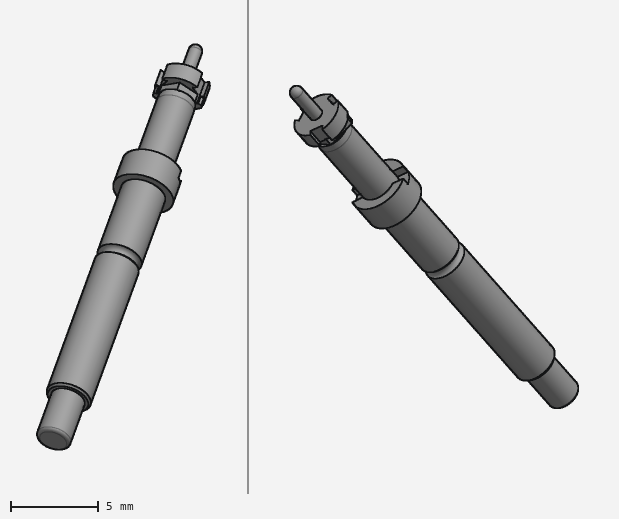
import cadquery as cq
import math

LENGTH = 28.8

TAIL_R = 1.0
SLEEVE_R = 1.32
COLLAR_DIAMETER = 3.6
COLLAR_R = COLLAR_DIAMETER / 2
NECK_R = 1.12
NECK_END_R = 1.1
HEAD_R = 1.5
NEEDLE_R = 0.4

SLEEVE_START = 3.0
GROOVE_CENTER = 13.0
COLLAR_START = 18.0
COLLAR_END = 19.8
NECK_TAPER_START = 24.35
WEDGE_START = 24.77
HEAD_START = 25.3
HEAD_END = 26.32

TAIL_FILLET = 0.2
SLEEVE_CHAMFER = 0.15
SLEEVE_CHAMFER_DEPTH = 0.12
GROOVE_WIDTH = 0.58
GROOVE_DEPTH = 0.23

NOTCH_WIDTH = 1.0
NOTCH_DEPTH = 0.52

WEDGE_FACE_ANGLE = 34.5
WEDGE_R = 1.45

RIM_SLOT_COUNT = 3
RIM_SLOT_WIDTH = 0.8
RIM_SLOT_FLOOR = 1.12


def rod(radius, start, end):
    """Cylinder on the part axis between two Y positions."""
    plane = cq.Workplane("XZ", origin=(0, start, 0))
    return plane.circle(radius).extrude(start - end)


def turned_body():
    """Tail, sleeve, collar, neck and needle as one revolved profile (radius, Y)."""
    groove_low = GROOVE_CENTER - GROOVE_WIDTH / 2
    groove_high = GROOVE_CENTER + GROOVE_WIDTH / 2
    fillet_mid = TAIL_FILLET * math.sin(math.radians(45))
    tip_mid = NEEDLE_R * math.sin(math.radians(45))
    tip_center = LENGTH - NEEDLE_R
    profile = (
        cq.Workplane("XY")
        .moveTo(0, 0)
        .lineTo(TAIL_R - TAIL_FILLET, 0)
        .threePointArc(
            (TAIL_R - TAIL_FILLET + fillet_mid, TAIL_FILLET - fillet_mid),
            (TAIL_R, TAIL_FILLET),
        )
        .lineTo(TAIL_R, SLEEVE_START)
        .lineTo(SLEEVE_R - SLEEVE_CHAMFER_DEPTH, SLEEVE_START)
        .lineTo(SLEEVE_R, SLEEVE_START + SLEEVE_CHAMFER)
        .lineTo(SLEEVE_R, groove_low)
        .threePointArc((SLEEVE_R - GROOVE_DEPTH, GROOVE_CENTER), (SLEEVE_R, groove_high))
        .lineTo(SLEEVE_R, COLLAR_START)
        .lineTo(COLLAR_R, COLLAR_START)
        .lineTo(COLLAR_R, COLLAR_END)
        .lineTo(NECK_R, COLLAR_END)
        .lineTo(NECK_R, NECK_TAPER_START)
        .lineTo(NECK_END_R, WEDGE_START)
        .lineTo(NEEDLE_R, WEDGE_START)
        .lineTo(NEEDLE_R, tip_center)
        .threePointArc((tip_mid, tip_center + tip_mid), (0, LENGTH))
        .close()
    )
    return profile.revolve(360, (0, 0, 0), (0, 1, 0))


def collar_notch():
    """Slot straight across the collar along X, leaving the neck whole."""
    slot = cq.Workplane("XY").box(2 * COLLAR_R, NOTCH_DEPTH, NOTCH_WIDTH)
    slot = slot.translate((0, COLLAR_END - NOTCH_DEPTH / 2, 0))
    return slot.cut(rod(NECK_R, COLLAR_START, HEAD_START))


def wedge_key():
    """Rhombus with ridges along Z, its long corners trimmed by a cylinder."""
    half_height = NECK_R
    half_width = half_height / math.tan(math.radians(WEDGE_FACE_ANGLE))
    rhombus = (
        cq.Workplane("XZ", origin=(0, WEDGE_START, 0))
        .polyline([(half_width, 0), (0, half_height), (-half_width, 0), (0, -half_height)])
        .close()
        .extrude(WEDGE_START - HEAD_START)
    )
    return rhombus.intersect(rod(WEDGE_R, WEDGE_START, HEAD_START))


def rim_slots():
    """Flat-floored slots, evenly spaced round the axis, through the head and the key."""
    slot_depth = HEAD_R - RIM_SLOT_FLOOR
    slot = (
        cq.Workplane("XY")
        .box(RIM_SLOT_WIDTH, HEAD_END - WEDGE_START, slot_depth)
        .translate((0, (HEAD_END + WEDGE_START) / 2, -RIM_SLOT_FLOOR - slot_depth / 2))
    )
    slots = cq.Workplane("XY")
    for index in range(RIM_SLOT_COUNT):
        angle = index * 360 / RIM_SLOT_COUNT
        slots = slots.add(slot.rotate((0, 0, 0), (0, 1, 0), angle))
    return slots.combine()


head = rod(HEAD_R, HEAD_START, HEAD_END).union(wedge_key()).cut(rim_slots())
result = turned_body().cut(collar_notch()).union(head)